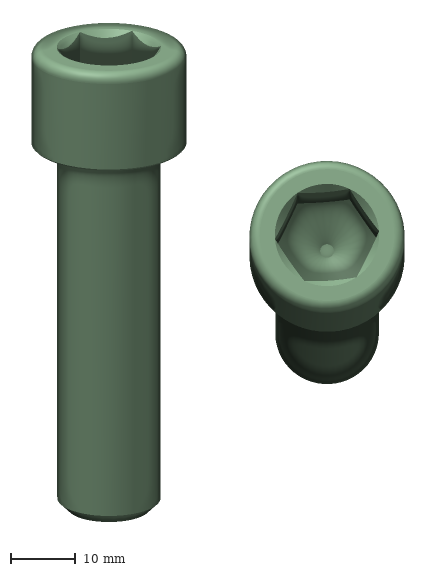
import cadquery as cq
import math

total_length = 76.0
head_diameter = 24.0
head_to_shank_ratio = 1.5
head_top_round = 1.6
head_bottom_chamfer = 0.3
shank_diameter = head_diameter / head_to_shank_ratio
head_height = shank_diameter
tip_chamfer = 1.6
neck_fillet = 0.6
socket_width = 14.0
socket_depth = 8.0
floor_flat_diameter = 2.1
floor_slope = 30.0
entry_slope = 45.0

head_radius = head_diameter / 2
shank_radius = shank_diameter / 2
head_base = total_length - head_height
socket_corner_radius = socket_width / math.sqrt(3)
socket_floor = total_length - socket_depth


def cone_drop(outer_radius, inner_radius, slope):
    """Height of a cone between two radii."""
    return (outer_radius - inner_radius) * math.tan(math.radians(slope))


def make_head():
    head = cq.Workplane("XY").workplane(offset=head_base).circle(head_radius).extrude(head_height)
    return head.faces(">Z").edges().fillet(head_top_round).faces("<Z").edges().chamfer(head_bottom_chamfer)


def make_shank():
    """Cylinder with a chamfered tip and a concave fillet flaring out to the head."""
    arc_offset = neck_fillet * (1 - math.sqrt(0.5))
    profile = (
        cq.Workplane("XZ")
        .lineTo(shank_radius - tip_chamfer, 0)
        .lineTo(shank_radius, tip_chamfer)
        .lineTo(shank_radius, head_base - neck_fillet)
        .threePointArc(
            (shank_radius + arc_offset, head_base - arc_offset),
            (shank_radius + neck_fillet, head_base),
        )
        .lineTo(0, head_base)
        .close()
    )
    return profile.revolve(360, (0, 0, 0), (0, 1, 0))


def make_socket():
    """Hexagon with corners on the X axis, ending in a shallow conical floor that meets its corners."""
    flat_radius = floor_flat_diameter / 2
    floor_bottom = socket_floor - cone_drop(socket_corner_radius, flat_radius, floor_slope)
    hexagon = (
        cq.Workplane("XY")
        .workplane(offset=floor_bottom)
        .polygon(6, 2 * socket_corner_radius)
        .extrude(total_length - floor_bottom)
    )
    pointed_cylinder = (
        cq.Workplane("XZ")
        .moveTo(0, total_length)
        .lineTo(socket_corner_radius, total_length)
        .lineTo(socket_corner_radius, socket_floor)
        .lineTo(flat_radius, floor_bottom)
        .lineTo(0, floor_bottom)
        .close()
        .revolve(360, (0, 0, 0), (0, 1, 0))
    )
    return hexagon.intersect(pointed_cylinder)


def make_socket_entry():
    """Cone that breaks the hexagon at the top face, as wide as its corners."""
    drop = cone_drop(socket_corner_radius, 0, entry_slope)
    return (
        cq.Workplane("XZ")
        .moveTo(0, total_length)
        .lineTo(socket_corner_radius, total_length)
        .lineTo(0, total_length - drop)
        .close()
        .revolve(360, (0, 0, 0), (0, 1, 0))
    )


screw = make_head().union(make_shank())
result = screw.cut(make_socket()).cut(make_socket_entry())